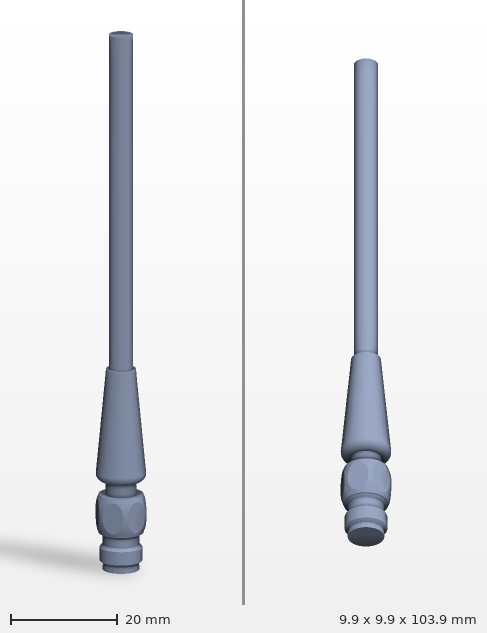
import cadquery as cq
import math


total_height = 103.9

lip_diameter = 6.9
lip_height = 0.8
relief_diameter = 6.6
barrel_diameter = 6.9
collar_diameter = 8.0
collar_bottom = 1.8
collar_top = 4.4
bevel = (collar_diameter - barrel_diameter) / 2

nut_bottom = 7.2
nut_top = 14.6
nut_diameter = 9.9
nut_end_diameter = 8.4
nut_across_flats = 8.9
flat_count = 6

neck_diameter = 5.8
sleeve_bottom = 17.1
sleeve_rim_height = 1.6
sleeve_rim_diameter = 9.5
sleeve_top = 39.0
sleeve_top_diameter = 5.6

rod_diameter = 4.6


def cylinder(diameter, bottom, top):
    """Solid cylinder on the Z axis between two heights."""
    return cq.Workplane("XY", origin=(0, 0, bottom)).circle(diameter / 2).extrude(top - bottom)


def make_plug():
    barrel_radius = barrel_diameter / 2
    collar_radius = collar_diameter / 2
    lip_radius = lip_diameter / 2
    relief_radius = relief_diameter / 2
    outline = [
        (0, 0),
        (lip_radius, 0),
        (lip_radius, lip_height),
        (relief_radius, lip_height),
        (relief_radius, collar_bottom - bevel),
        (collar_radius, collar_bottom),
        (collar_radius, collar_top),
        (barrel_radius, collar_top + bevel),
        (barrel_radius, nut_bottom - bevel),
        (collar_radius, nut_bottom),
        (0, nut_bottom),
    ]
    return cq.Workplane("XZ").polyline(outline).close().revolve(360, (0, 0, 0), (0, 1, 0))


def make_nut():
    end_radius = nut_end_diameter / 2
    body = (
        cq.Workplane("XZ")
        .moveTo(0, nut_bottom)
        .lineTo(end_radius, nut_bottom)
        .threePointArc((nut_diameter / 2, (nut_bottom + nut_top) / 2), (end_radius, nut_top))
        .lineTo(0, nut_top)
        .close()
        .revolve(360, (0, 0, 0), (0, 1, 0))
    )
    across_corners = nut_across_flats / math.cos(math.pi / flat_count)
    hexagon = (
        cq.Workplane("XY", origin=(0, 0, nut_bottom))
        .polygon(flat_count, across_corners)
        .extrude(nut_top - nut_bottom)
    )
    return body.intersect(hexagon)


def make_sleeve():
    rim_radius = sleeve_rim_diameter / 2
    rim_top = sleeve_bottom + sleeve_rim_height
    arc_center_radius = rim_radius - sleeve_rim_height
    arc_reach = sleeve_rim_height * math.sqrt(0.5)
    return (
        cq.Workplane("XZ")
        .moveTo(0, sleeve_bottom)
        .lineTo(arc_center_radius, sleeve_bottom)
        .threePointArc((arc_center_radius + arc_reach, rim_top - arc_reach), (rim_radius, rim_top))
        .lineTo(sleeve_top_diameter / 2, sleeve_top)
        .lineTo(0, sleeve_top)
        .close()
        .revolve(360, (0, 0, 0), (0, 1, 0))
    )


neck = cylinder(neck_diameter, nut_top, sleeve_bottom)
rod = cylinder(rod_diameter, sleeve_top, total_height)

result = make_plug().union(make_nut()).union(neck).union(make_sleeve()).union(rod)